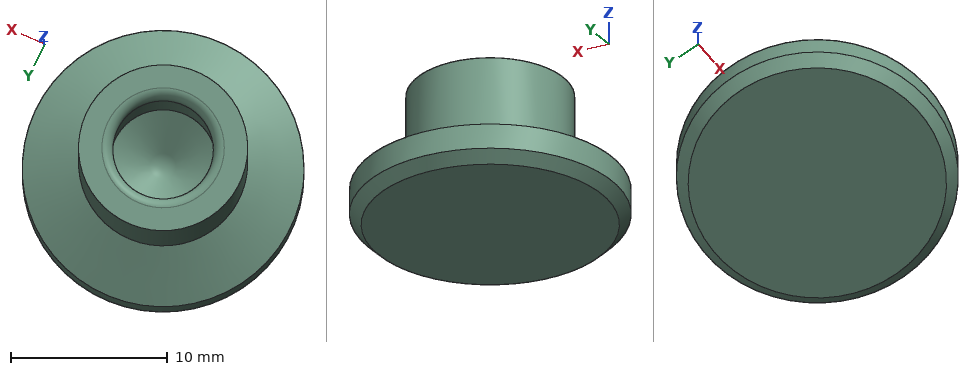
import cadquery as cq
import math

flange_radius = 9.0
total_height = 9.2
boss_radius = 5.4

bottom_chamfer = 0.75
rim_top = 2.5
shoulder_top = rim_top + (flange_radius - boss_radius) / 2

bore_radius = 3.4
throat_radius = 3.2
lip_rounding = 0.7
bore_depth = 4.59
drill_point_angle = 118.0


def make_body():
    """Revolve the solid outer profile about Z."""
    profile = (
        cq.Workplane("XZ")
        .moveTo(0, 0)
        .lineTo(flange_radius - bottom_chamfer, 0)
        .lineTo(flange_radius, bottom_chamfer)
        .lineTo(flange_radius, rim_top)
        .lineTo(boss_radius, shoulder_top)
        .lineTo(boss_radius, total_height)
        .lineTo(0, total_height)
        .close()
    )
    return profile.revolve(360, (0, 0, 0), (0, 1, 0))


def make_bore():
    """Revolve the bore: drill point, straight wall, then a lip rounded past its throat."""
    bore_floor = total_height - bore_depth
    point_depth = bore_radius / math.tan(math.radians(drill_point_angle / 2))
    mouth_radius = throat_radius + lip_rounding
    throat_height = total_height - lip_rounding
    undercut_drop = math.sqrt(lip_rounding**2 - (mouth_radius - bore_radius) ** 2)
    profile = (
        cq.Workplane("XZ")
        .moveTo(0, bore_floor - point_depth)
        .lineTo(bore_radius, bore_floor)
        .lineTo(bore_radius, throat_height - undercut_drop)
        .threePointArc((throat_radius, throat_height), (mouth_radius, total_height))
        .lineTo(0, total_height)
        .close()
    )
    return profile.revolve(360, (0, 0, 0), (0, 1, 0))


result = make_body().cut(make_bore())